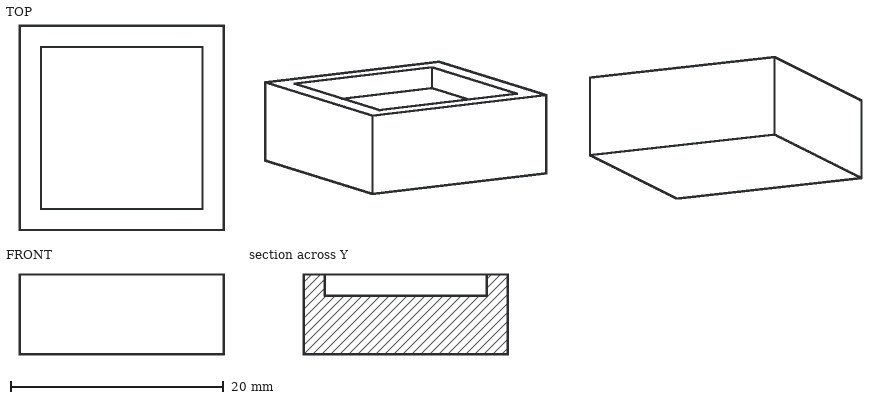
import cadquery as cq

side = 19.2
height = 7.5
wall = 2.0
pocket_depth = 2.0

pocket_side = side - 2 * wall

block = cq.Workplane("XY").box(side, side, height, centered=(True, True, False))

result = block.faces(">Z").workplane().rect(pocket_side, pocket_side).cutBlind(-pocket_depth)